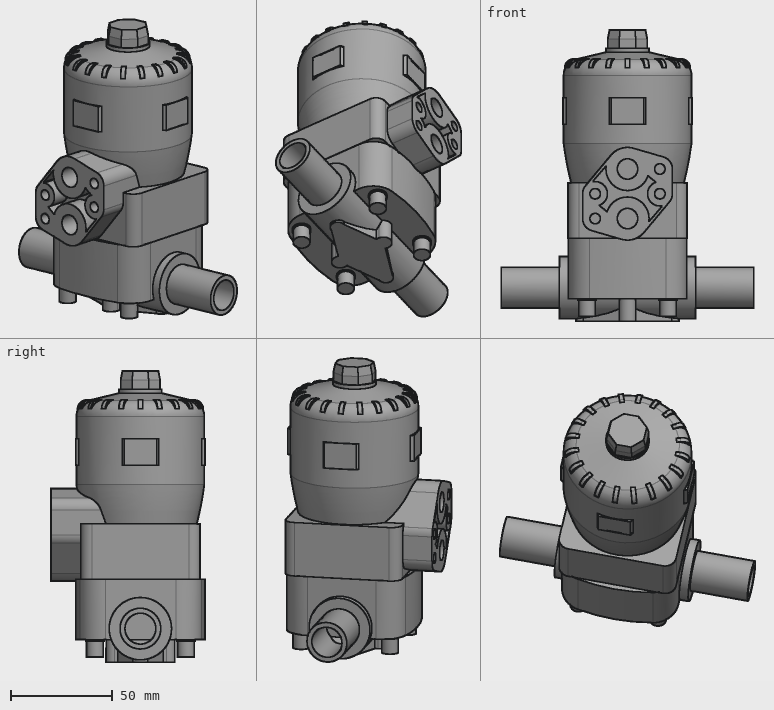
import cadquery as cq
import math

BODY_BOTTOM = 11.2
BODY_TOP = 40.9
BLOCK_TOP = 67.9
NECK_TOP = 87.4
DRUM_TOP = 120.7
DOME_TOP = 132.1
COLLAR_TOP = 134.1
PLUG_CHAMFER = 138.5
PLUG_TOP = 143.0

DRUM_RADIUS = 31.5
NECK_RADIUS = 27.7
NECK_BULGE = 0.3
DOME_FLAT_RADIUS = 25.3
SHOULDER_RADIUS = 8.2
SHOULDER_CENTRE = DRUM_RADIUS - SHOULDER_RADIUS
DOME_EDGE = DRUM_TOP + math.sqrt(SHOULDER_RADIUS**2 - (DOME_FLAT_RADIUS - SHOULDER_CENTRE) ** 2)
COLLAR_RADIUS = 10.6
PLUG_SIDES = 8
PLUG_BASE_FLATS = 19.5
PLUG_TOP_FLATS = 17.7

RIB_COUNT = 20
RIB_WIDTH = 2.3
RIB_INNER = 24.2
RIB_FLAT = 1.9
RIB_BOTTOM = 124.5
RIB_ARC = 4.9
RIB_RISE = 0.3

PAD_COUNT = 4
PAD_FACE = 31.7
PAD_BASE_WIDTH = 18.0
PAD_FACE_WIDTH = 16.0
PAD_BOTTOM = 96.8
PAD_TOP = 109.8
PAD_ROOT = 28.6

BLOCK_SIDE = 58.5
BLOCK_FILLET = 5.5
BODY_WIDTH = 58.2
BODY_HALF_DEPTH = 31.7
BODY_FACE_RADIUS = 94.4
BODY_FILLET = 12.9

PIPE_LENGTH = 124.0
PIPE_Z = 16.6
PIPE_RADIUS = 10.0
BORE_RADIUS = 7.6
FLANGE_RADIUS = 15.3
FLANGE_LENGTH = 66.9
RAMP_RUN = 4.1

BOLT_X = 19.9
BOLT_Y = 22.3
BOLT_RADIUS = 4.1
BOLT_BOTTOM = 2.6
WASHER_RADIUS = 4.6
WASHER_THICKNESS = 0.9
FOOT_LENGTH = 50.6
FOOT_END_WIDTH = 7.5
FOOT_DEPTH = 33.7
FOOT_ARM_WIDTH = 8.3
FOOT_ARM_ROOT = 11.2

PORT_FACE = 43.9
PORT_ROOT = 14.3
PORT_CENTRE_Z = 62.6
PORT_OFFSET = 12.2
SCREW_X = 15.9
PORT_BOSS_RADIUS = 10.6
SCREW_BOSS_RADIUS = 6.1
SCREW_RING_RADIUS = 6.0
PORT_RADIUS = 5.0
SCREW_RADIUS = 2.6
PORT_DEPTH = 20.0
SCREW_DEPTH = 10.0
GROOVE_DEPTH = 10.0
GROOVE_HALF_OUTLINE = [(-10.6, 13.6), (-16.9, 6.3), (-13.9, -5.7), (-10.2, -8.7)]


def cylinder_z(x, y, bottom, top, radius):
    return cq.Workplane("XY", origin=(x, y, bottom)).circle(radius).extrude(top - bottom)


def cylinder_x(length, radius):
    return cq.Workplane("YZ", origin=(0, 0, PIPE_Z)).circle(radius).extrude(length / 2, both=True)


def make_actuator():
    """Neck, drum, rounded shoulder, shallow dome and plug collar, turned about Z."""
    neck_mid = ((NECK_RADIUS + DRUM_RADIUS) / 2 + NECK_BULGE, (BLOCK_TOP + NECK_TOP) / 2)
    end_angle = math.acos((DOME_FLAT_RADIUS - SHOULDER_CENTRE) / SHOULDER_RADIUS)
    shoulder_mid = (
        SHOULDER_CENTRE + SHOULDER_RADIUS * math.cos(end_angle / 2),
        DRUM_TOP + SHOULDER_RADIUS * math.sin(end_angle / 2),
    )
    return (
        cq.Workplane("XZ")
        .moveTo(0, BODY_TOP)
        .lineTo(NECK_RADIUS, BODY_TOP)
        .lineTo(NECK_RADIUS, BLOCK_TOP)
        .threePointArc(neck_mid, (DRUM_RADIUS, NECK_TOP))
        .lineTo(DRUM_RADIUS, DRUM_TOP)
        .threePointArc(shoulder_mid, (DOME_FLAT_RADIUS, DOME_EDGE))
        .lineTo(COLLAR_RADIUS, DOME_TOP)
        .lineTo(COLLAR_RADIUS, COLLAR_TOP)
        .lineTo(0, COLLAR_TOP)
        .close()
        .revolve(360, (0, 0, 0), (0, 1, 0))
    )


def octagon(flats, z):
    plane = cq.Workplane("XY", origin=(0, 0, z)).transformed(rotate=(0, 0, 180 / PLUG_SIDES))
    return plane.polygon(PLUG_SIDES, flats / math.cos(math.pi / PLUG_SIDES))


def make_plug():
    """Octagonal plug with a tapered upper half."""
    base = octagon(PLUG_BASE_FLATS, DOME_TOP).extrude(PLUG_CHAMFER - DOME_TOP)
    taper = math.degrees(math.atan2((PLUG_BASE_FLATS - PLUG_TOP_FLATS) / 2, PLUG_TOP - PLUG_CHAMFER))
    tip = octagon(PLUG_BASE_FLATS, PLUG_CHAMFER).extrude(PLUG_TOP - PLUG_CHAMFER, taper=taper)
    return base.union(tip)


def make_rib():
    """One grip rib on the +X side, curving over the shoulder, its lower end square to the surface."""
    top = DOME_EDGE + RIB_RISE
    arc_start = RIB_INNER + RIB_FLAT
    return (
        cq.Workplane("XZ", origin=(0, RIB_WIDTH / 2, 0))
        .moveTo(SHOULDER_CENTRE, DRUM_TOP)
        .lineTo(RIB_INNER, top)
        .lineTo(arc_start, top)
        .radiusArc((arc_start + RIB_ARC, RIB_BOTTOM), RIB_ARC)
        .close()
        .extrude(RIB_WIDTH)
    )


def make_pad():
    """One flat pad on the +X side, with sloping side walls."""
    slope = (PAD_BASE_WIDTH - PAD_FACE_WIDTH) / 2
    base_x = math.sqrt(DRUM_RADIUS**2 - (PAD_BASE_WIDTH / 2) ** 2)
    return (
        cq.Workplane("XY", origin=(0, 0, PAD_BOTTOM))
        .polyline([
            (PAD_ROOT, -PAD_BASE_WIDTH / 2),
            (base_x, -PAD_BASE_WIDTH / 2),
            (PAD_FACE, slope - PAD_BASE_WIDTH / 2),
            (PAD_FACE, PAD_BASE_WIDTH / 2 - slope),
            (base_x, PAD_BASE_WIDTH / 2),
            (PAD_ROOT, PAD_BASE_WIDTH / 2),
        ])
        .close()
        .extrude(PAD_TOP - PAD_BOTTOM)
    )


def make_block():
    """Square block with rounded upright corners, between the body and the neck."""
    return (
        cq.Workplane("XY", origin=(0, 0, BODY_TOP))
        .rect(BLOCK_SIDE, BLOCK_SIDE)
        .extrude(BLOCK_TOP - BODY_TOP)
        .edges("|Z")
        .fillet(BLOCK_FILLET)
    )


def make_body():
    """Valve body: flat X sides, bowed Y sides and rounded corners."""
    half_width = BODY_WIDTH / 2
    sagitta = BODY_FACE_RADIUS - math.sqrt(BODY_FACE_RADIUS**2 - half_width**2)
    corner_y = BODY_HALF_DEPTH - sagitta
    return (
        cq.Workplane("XY", origin=(0, 0, BODY_BOTTOM))
        .moveTo(-half_width, -corner_y)
        .threePointArc((0, -BODY_HALF_DEPTH), (half_width, -corner_y))
        .lineTo(half_width, corner_y)
        .threePointArc((0, BODY_HALF_DEPTH), (-half_width, corner_y))
        .close()
        .extrude(BODY_TOP - BODY_BOTTOM)
        .edges("|Z")
        .fillet(BODY_FILLET)
    )


def make_pipe():
    """Open tube through a thicker flange barrel."""
    outside = cylinder_x(PIPE_LENGTH, PIPE_RADIUS).union(cylinder_x(FLANGE_LENGTH, FLANGE_RADIUS))
    return outside.cut(cylinder_x(PIPE_LENGTH, BORE_RADIUS))


def make_bore_floor():
    """Filling of the bore below the body, ramped down to the bore's lowest line at both ends."""
    end_x = BODY_WIDTH / 2
    bore_bottom = PIPE_Z - BORE_RADIUS
    return (
        cq.Workplane("XZ")
        .polyline([
            (-end_x - RAMP_RUN, bore_bottom), (end_x + RAMP_RUN, bore_bottom),
            (end_x, BODY_BOTTOM), (-end_x, BODY_BOTTOM),
        ])
        .close()
        .extrude(BORE_RADIUS, both=True)
    )


def make_foot():
    """Lozenge plate with round-ended arms along X and Y."""
    arm_x = FOOT_ARM_WIDTH / 2
    end_x = (FOOT_LENGTH - FOOT_END_WIDTH) / 2
    end_y = FOOT_END_WIDTH / 2
    lozenge = (
        cq.Workplane("XY")
        .polyline([
            (end_x, -end_y), (end_x, end_y), (arm_x, FOOT_ARM_ROOT), (-arm_x, FOOT_ARM_ROOT),
            (-end_x, end_y), (-end_x, -end_y), (-arm_x, -FOOT_ARM_ROOT), (arm_x, -FOOT_ARM_ROOT),
        ])
        .close()
        .extrude(BODY_BOTTOM)
    )
    arms_x = cq.Workplane("XY").slot2D(FOOT_LENGTH, FOOT_END_WIDTH).extrude(BODY_BOTTOM)
    arms_y = cq.Workplane("XY").slot2D(FOOT_DEPTH, FOOT_ARM_WIDTH, 90).extrude(BODY_BOTTOM)
    return lozenge.union(arms_x).union(arms_y)


def make_bolt(x, y):
    shank = cylinder_z(x, y, BOLT_BOTTOM, BODY_BOTTOM, BOLT_RADIUS)
    washer = cylinder_z(x, y, BODY_BOTTOM - WASHER_THICKNESS, BODY_BOTTOM, WASHER_RADIUS)
    return shank.union(washer)


def port_plane(y):
    """Sketch plane facing -Y, centred on the port block, at the given Y."""
    return cq.Workplane("XZ", origin=(0, y, PORT_CENTRE_Z))


def tangent_points(first, second):
    """Ends of the tangent on the right of the way from one circle (x, z, radius) to another."""
    dx = second[0] - first[0]
    dz = second[1] - first[1]
    lean = math.asin((first[2] - second[2]) / math.hypot(dx, dz))
    normal = math.atan2(dz, dx) - math.pi / 2 + lean
    return [(x + r * math.cos(normal), z + r * math.sin(normal)) for x, z, r in (first, second)]


def make_port_block():
    """Prism along Y whose outline wraps two port bosses and four screw bosses."""
    bosses = [
        (0, -PORT_OFFSET, PORT_BOSS_RADIUS),
        (SCREW_X, 0, SCREW_BOSS_RADIUS),
        (SCREW_X, PORT_OFFSET, SCREW_BOSS_RADIUS),
        (0, PORT_OFFSET, PORT_BOSS_RADIUS),
        (-SCREW_X, 0, SCREW_BOSS_RADIUS),
        (-SCREW_X, -PORT_OFFSET, SCREW_BOSS_RADIUS),
    ]
    followers = bosses[1:] + bosses[:1]
    tangents = [tangent_points(boss, follower) for boss, follower in zip(bosses, followers)]
    outline = port_plane(-PORT_ROOT).polyline([point for tangent in tangents for point in tangent])
    block = outline.close().extrude(PORT_FACE - PORT_ROOT)
    for x, z, radius in bosses:
        block = block.union(port_plane(-PORT_ROOT).center(x, z).circle(radius).extrude(PORT_FACE - PORT_ROOT))
    return block


def make_groove():
    """Recess left between the port rings and the middle screw rings."""
    outline = GROOVE_HALF_OUTLINE + [(-x, -z) for x, z in GROOVE_HALF_OUTLINE]
    groove = port_plane(-PORT_FACE + GROOVE_DEPTH).polyline(outline).close().extrude(GROOVE_DEPTH)
    for side in (-1, 1):
        ports = port_plane(-PORT_FACE + GROOVE_DEPTH).center(0, side * PORT_OFFSET)
        screws = port_plane(-PORT_FACE + GROOVE_DEPTH).center(side * SCREW_X, 0)
        groove = groove.cut(ports.circle(PORT_BOSS_RADIUS).extrude(GROOVE_DEPTH))
        groove = groove.cut(screws.circle(SCREW_RING_RADIUS).extrude(GROOVE_DEPTH))
    return groove


def make_port_holes():
    """Two blind ports and four blind screw holes."""
    port_points = [(0, -PORT_OFFSET), (0, PORT_OFFSET)]
    screw_points = [(SCREW_X, 0), (SCREW_X, PORT_OFFSET), (-SCREW_X, 0), (-SCREW_X, -PORT_OFFSET)]
    face = port_plane(-PORT_FACE)
    ports = face.pushPoints(port_points).circle(PORT_RADIUS).extrude(-PORT_DEPTH)
    screws = face.pushPoints(screw_points).circle(SCREW_RADIUS).extrude(-SCREW_DEPTH)
    return ports.union(screws)


result = make_pipe().union(make_bore_floor()).union(make_body()).union(make_foot()).union(make_block())
result = result.union(make_actuator()).union(make_plug()).union(make_port_block())
for index in range(PAD_COUNT):
    result = result.union(make_pad().rotate((0, 0, 0), (0, 0, 1), 360 / PAD_COUNT * index))
for index in range(RIB_COUNT):
    result = result.union(make_rib().rotate((0, 0, 0), (0, 0, 1), 360 / RIB_COUNT * index))
for side_x in (-1, 1):
    for side_y in (-1, 1):
        result = result.union(make_bolt(side_x * BOLT_X, side_y * BOLT_Y))
result = result.cut(make_groove()).cut(make_port_holes())